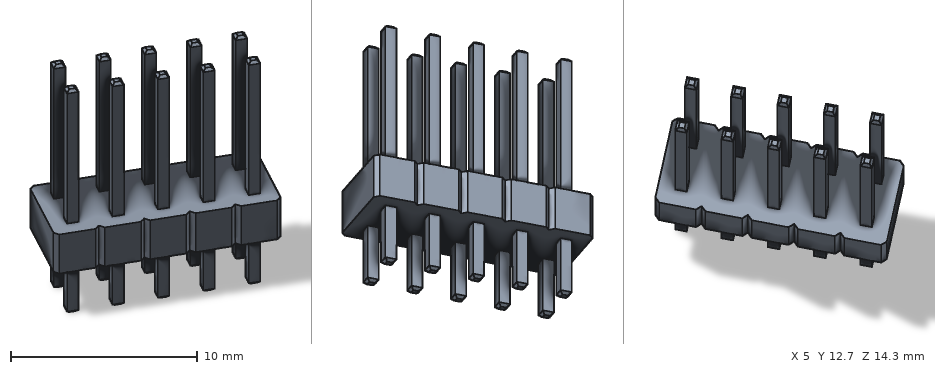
import cadquery as cq

total_height = 14.3
body_width = 5.0
body_length = 12.7

row_count = 5
column_count = 2
pin_pitch = body_length / row_count

body_height = 2.5
corner_chamfer = 0.26

pin_side = 0.65
pin_tip_chamfer = pin_side / 4
pin_below_body = 3.3


def centered_positions(count):
    """Positions one pitch apart, centred on zero."""
    return [(index - (count - 1) / 2) * pin_pitch for index in range(count)]


def make_block():
    """The body around one row of pins; its chamfers form V notches against its neighbours."""
    return (
        cq.Workplane("XY")
        .box(body_width, pin_pitch, body_height, centered=(True, True, False))
        .edges("|Z")
        .chamfer(corner_chamfer)
    )


def make_pin():
    """A square pin on the Z axis."""
    return (
        cq.Workplane("XY", origin=(0, 0, -pin_below_body))
        .rect(pin_side, pin_side)
        .extrude(total_height)
        .faces("<Z or >Z")
        .chamfer(pin_tip_chamfer)
    )


block = make_block()
result = cq.Workplane("XY")
for row_y in centered_positions(row_count):
    result = result.union(block.translate((0, row_y, 0)))

pin = make_pin()
for row_y in centered_positions(row_count):
    for column_x in centered_positions(column_count):
        result = result.union(pin.translate((column_x, row_y, 0)))